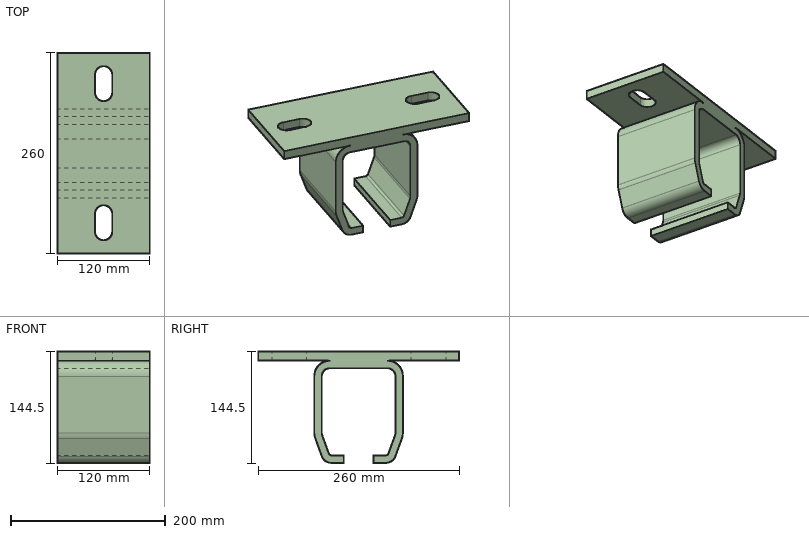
import cadquery as cq
import math

part_length = 120.0
overall_height = 144.5

plate_width = 260.0
plate_thickness = 12.0
slot_length = 45.0
slot_width = 22.0
slot_spacing = 180.0

wall = 10.0
rail_width = 115.0
mouth_width = 38.0
bend_radius = 20.0
lip_bend_radius = 13.5
side_lean = math.radians(20.0)
straight_side_depth = 93.5

plate_bottom = overall_height - plate_thickness
half_mouth = mouth_width / 2
bend_center_y = rail_width / 2 - bend_radius
side_bend_z = plate_bottom - straight_side_depth

FACING_UP = math.pi / 2
FACING_SIDE = 0.0
FACING_LEAN = -side_lean
FACING_DOWN = -math.pi / 2


def make_plate():
    """Flat plate with two through slots, long along Y."""
    base = cq.Workplane("XY").workplane(offset=plate_bottom)
    plate = base.rect(part_length, plate_width).extrude(plate_thickness)
    slots = (
        base.pushPoints([(0, -slot_spacing / 2), (0, slot_spacing / 2)])
        .slot2D(slot_length, slot_width, 90)
        .extrude(plate_thickness)
    )
    return plate.cut(slots)


def point_on_circle(center, radius, angle):
    return (center[0] + radius * math.cos(angle), center[1] + radius * math.sin(angle))


def lip_bend_center():
    """Center of the lip bend, whose outside touches the leaning side and the bottom face."""
    center_drop = side_bend_z - lip_bend_radius
    radius_change = bend_radius - lip_bend_radius
    inward_shift = (center_drop * math.sin(side_lean) - radius_change) / math.cos(side_lean)
    return (bend_center_y - inward_shift, lip_bend_radius)


def line_then_bend(profile, center, radius, start_angle, end_angle):
    """Run straight to the start of a bend, then around it."""
    middle = point_on_circle(center, radius, (start_angle + end_angle) / 2)
    end = point_on_circle(center, radius, end_angle)
    profile = profile.lineTo(*point_on_circle(center, radius, start_angle))
    return profile.threePointArc(middle, end)


def make_half_rail():
    """The +Y half of the rail; inside and outside of each bend share one center."""
    bends = [
        ((bend_center_y, plate_bottom - bend_radius), bend_radius, FACING_UP, FACING_SIDE),
        ((bend_center_y, side_bend_z), bend_radius, FACING_SIDE, FACING_LEAN),
        (lip_bend_center(), lip_bend_radius, FACING_LEAN, FACING_DOWN),
    ]
    profile = cq.Workplane("YZ").workplane(offset=-part_length / 2).moveTo(0, plate_bottom)
    for center, radius, start_angle, end_angle in bends:
        profile = line_then_bend(profile, center, radius, start_angle, end_angle)
    profile = profile.lineTo(half_mouth, 0).lineTo(half_mouth, wall)
    for center, radius, start_angle, end_angle in reversed(bends):
        profile = line_then_bend(profile, center, radius - wall, end_angle, start_angle)
    return profile.lineTo(0, plate_bottom - wall).close().extrude(part_length)


half_rail = make_half_rail()
result = make_plate().union(half_rail).union(half_rail.mirror("XZ")).clean()